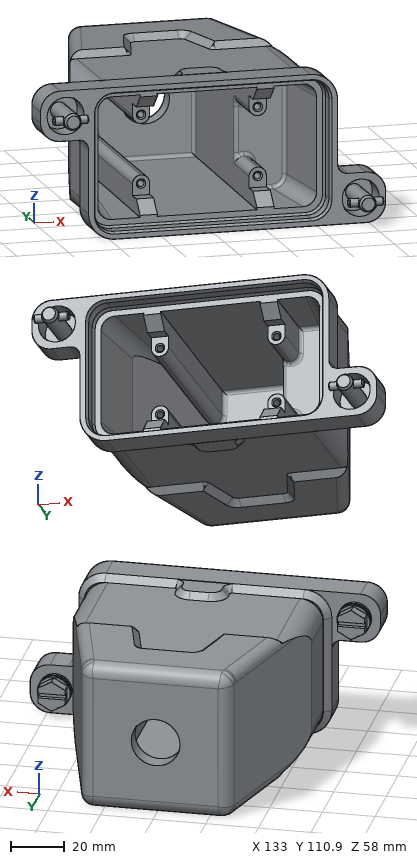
import cadquery as cq
import math

FLANGE_LENGTH = 133.0
FLANGE_HALF_X = 48.0
HALF_Z = 29.0
FLANGE_THICK = 12.1
FLANGE_CORNER = 10.4
LUG_HEIGHT = 19.3
LUG_CORNER = 7.6
LUG_BLEND = 3.9

HOOD_HALF_X = 45.2
HOOD_HALF_Z = 26.3
HOOD_TOP = 100.0
HOOD_CORNER = 8.8
SLOPE_START = 35.0
SLOPE_ANGLE = 15.0
SIDE_ROUND = 4.5
TOP_ROUND = 5.3
CABLE_HOLE_DIA = 18.5
RELIEF = HALF_Z - HOOD_HALF_Z

STEP_Y = 57.6
NOTCH_TOP_Y = 77.5
NOTCH_HALF_TOP = 10.1
NOTCH_ROUND = 2.0

ARCH_RISE = 2.5
ARCH_HALF = 7.6
ARCH_TOP_Y = 22.1
ARCH_ROUND = 4.0
ARCH_FLARE = 3.7

MOUTH_HALF_X = 45.8
MOUTH_HALF_Z = 27.0
MOUTH_CORNER = 7.8
MOUTH_BEVEL_INSET = 0.7
MOUTH_BEVEL_DEPTH = 1.7
LEDGE_Y = 8.2

CAVITY_HALF_X = 42.2
CAVITY_HALF_Z = 23.4
CAVITY_TOP_HALF_Z = 22.7
CAVITY_TOP_Y = 93.1
CAVITY_CORNER = 5.3
CAVITY_BEND_Y = 38.6
CAVITY_BEND_X = 38.7
SHELF_EDGE_X = 19.2
FLOOR_ROUND = 1.5

POST_X = 22.5
POST_Z = 13.2
POST_WIDTH = 6.6
POST_FACE_Y = 18.9
POST_SHELF_Y = 13.5
POST_SHELF_Z = 17.5
POST_RAMP_Z = 22.6
POST_HOLE_DIA = 2.5
POST_HOLE_CHAMFER = 0.5
POST_HOLE_DEPTH = 10.6

BORE_DIA = 14.2
BORE_ROOF = 2.7

SHAFT_DIA = 6.4
TIP_Y = -10.9
TIP_CHAMFER = 0.7
TIP_CHAMFER_LENGTH = 1.2
CROSS_PIN_Y = -6.9
CROSS_PIN_DIA = 3.2
CROSS_PIN_LENGTH = 13.3
CROSS_PIN_CHAMFER = 0.4
WASHER_DIA = 12.5
WASHER_THICK = 1.6
WASHER_CHAMFER = 0.4
HEAD_FLATS = 10.2
HEAD_HEIGHT = 4.1
SLOT_WIDTH = 1.9
SLOT_DEPTH = 1.7

LUG_X = (FLANGE_LENGTH - LUG_HEIGHT) / 2
LUG_Z = HALF_Z - LUG_HEIGHT / 2
SLOPE = math.tan(math.radians(SLOPE_ANGLE))


def section(y):
    """Workplane across Y that extrudes toward +Y; local x is X and local y is -Z."""
    return cq.Workplane(cq.Plane(origin=(0, y, 0), xDir=(1, 0, 0), normal=(0, 1, 0)))


def rounded_prism(half_x, half_z, corner, y_start, y_end):
    block = section(y_start).rect(2 * half_x, 2 * half_z).extrude(y_end - y_start)
    return block.edges("|Y").fillet(corner)


def rounded_taper(half_x, half_z, corner, y_start, length, angle):
    outline = cq.Sketch().rect(2 * half_x, 2 * half_z).vertices().fillet(corner)
    return section(y_start).placeSketch(outline).extrude(length, taper=angle)


def mirrored_in_z(body):
    return body.union(body.mirror("XY"))


def flange():
    half_length = FLANGE_LENGTH / 2
    lug_edge = HALF_Z - LUG_HEIGHT
    half_outline = [
        (-half_length, lug_edge),
        (-half_length, HALF_Z),
        (FLANGE_HALF_X, HALF_Z),
        (FLANGE_HALF_X, -lug_edge),
    ]
    outline = half_outline + [(-x, -z) for x, z in half_outline]
    plate = cq.Workplane("XZ").polyline(outline).close().extrude(-FLANGE_THICK)
    roundings = (LUG_CORNER, LUG_CORNER, FLANGE_CORNER, LUG_BLEND)
    mid_y = FLANGE_THICK / 2
    for (x, z), radius in zip(half_outline, roundings):
        for sign in (1, -1):
            corner = cq.selectors.NearestToPointSelector((sign * x, mid_y, sign * z))
            plate = plate.edges("|Y").edges(corner).fillet(radius)
    return plate


def hood_envelope():
    """Full-thickness block with leaning ends and rounded upper edges."""
    top_half_x = HOOD_HALF_X - SLOPE * (HOOD_TOP - SLOPE_START)
    outline = [
        (-HOOD_HALF_X, FLANGE_THICK),
        (-HOOD_HALF_X, SLOPE_START),
        (-top_half_x, HOOD_TOP),
        (top_half_x, HOOD_TOP),
        (HOOD_HALF_X, SLOPE_START),
        (HOOD_HALF_X, FLANGE_THICK),
    ]
    block = cq.Workplane("XY").workplane(offset=-HALF_Z).polyline(outline).close().extrude(2 * HALF_Z)
    leaning = cq.selectors.BoxSelector(
        (-HOOD_HALF_X, SLOPE_START + 1.3, -HALF_Z - 1.3), (HOOD_HALF_X, HOOD_TOP - 1.3, HALF_Z + 1.3)
    )
    return block.faces(">Y").edges().fillet(TOP_ROUND).edges(leaning).fillet(SIDE_ROUND)


def grip_relief():
    """Space in front of the +Z face below the grip step, with a notch rising in its middle."""
    notch_half_foot = NOTCH_HALF_TOP + SLOPE * (NOTCH_TOP_Y - STEP_Y)
    right = [
        (NOTCH_HALF_TOP, NOTCH_TOP_Y),
        (notch_half_foot, STEP_Y),
        (FLANGE_LENGTH / 2, STEP_Y),
        (FLANGE_LENGTH / 2, 0),
    ]
    outline = [(-x, y) for x, y in reversed(right)] + right
    rounded = cq.Sketch().polygon(outline + outline[:1])
    corners = cq.selectors.BoxSelector((-HOOD_HALF_X, STEP_Y - 1.3, -1.3), (HOOD_HALF_X, NOTCH_TOP_Y + 1.3, 1.3))
    rounded = rounded.vertices(corners).fillet(NOTCH_ROUND)
    return cq.Workplane("XY").workplane(offset=HOOD_HALF_Z).placeSketch(rounded).extrude(2 * RELIEF, taper=-45)


def arch():
    """Raised arch on the -Z face with flared feet."""
    foot_half = ARCH_HALF + ARCH_FLARE
    flare_top = FLANGE_THICK + ARCH_FLARE
    crest_half = ARCH_HALF - ARCH_ROUND
    shoulder_y = ARCH_TOP_Y - ARCH_ROUND
    outline = (
        cq.Workplane("XY").workplane(offset=-(HOOD_HALF_Z + ARCH_RISE))
        .moveTo(-foot_half, LEDGE_Y)
        .lineTo(-foot_half, FLANGE_THICK)
        .radiusArc((-ARCH_HALF, flare_top), -ARCH_FLARE)
        .lineTo(-ARCH_HALF, shoulder_y)
        .radiusArc((-crest_half, ARCH_TOP_Y), ARCH_ROUND)
        .lineTo(crest_half, ARCH_TOP_Y)
        .radiusArc((ARCH_HALF, shoulder_y), ARCH_ROUND)
        .lineTo(ARCH_HALF, flare_top)
        .radiusArc((foot_half, FLANGE_THICK), -ARCH_FLARE)
        .lineTo(foot_half, LEDGE_Y)
        .close()
    )
    return outline.extrude(ARCH_RISE, taper=-45)


def hood():
    envelope = hood_envelope()
    lower = rounded_prism(HOOD_HALF_X, HOOD_HALF_Z, HOOD_CORNER, 0, HOOD_TOP).intersect(envelope)
    below_step = cq.Workplane("XY").box(
        FLANGE_LENGTH, STEP_Y, 2 * FLANGE_LENGTH, centered=(True, False, True)
    )
    upper = envelope.cut(below_step).cut(mirrored_in_z(grip_relief()))
    skirt = rounded_taper(FLANGE_HALF_X, HALF_Z, FLANGE_CORNER, FLANGE_THICK, RELIEF, 45)
    return lower.union(upper).union(skirt).union(mirrored_in_z(arch()))


def mouth():
    """Stepped seat: bevel, straight wall, bevel, ending at the ledge."""
    inset = MOUTH_BEVEL_INSET
    bevel_angle = math.degrees(math.atan(inset / MOUTH_BEVEL_DEPTH))
    half_x = MOUTH_HALF_X - inset
    half_z = MOUTH_HALF_Z - inset
    corner = MOUTH_CORNER - inset
    inner_bevel_y = LEDGE_Y - MOUTH_BEVEL_DEPTH
    entry = rounded_taper(MOUTH_HALF_X, MOUTH_HALF_Z, MOUTH_CORNER, 0, MOUTH_BEVEL_DEPTH, bevel_angle)
    wall = rounded_prism(half_x, half_z, corner, MOUTH_BEVEL_DEPTH, inner_bevel_y)
    exit_bevel = rounded_taper(half_x, half_z, corner, inner_bevel_y, MOUTH_BEVEL_DEPTH, bevel_angle)
    return entry.union(wall).union(exit_bevel)


def cavity():
    """Inner space: deep on the -X side and in the middle, shallow on the +X side."""
    top_left_x = -CAVITY_BEND_X + SLOPE * (CAVITY_TOP_Y - CAVITY_BEND_Y)
    plan = [
        (-CAVITY_HALF_X, LEDGE_Y),
        (-CAVITY_BEND_X, CAVITY_BEND_Y),
        (top_left_x, CAVITY_TOP_Y),
        (SHELF_EDGE_X, CAVITY_TOP_Y),
        (SHELF_EDGE_X, CAVITY_BEND_Y),
        (CAVITY_BEND_X, CAVITY_BEND_Y),
        (CAVITY_HALF_X, LEDGE_Y),
    ]
    profile = [
        (LEDGE_Y, -CAVITY_HALF_Z),
        (CAVITY_TOP_Y, -CAVITY_TOP_HALF_Z),
        (CAVITY_TOP_Y, CAVITY_TOP_HALF_Z),
        (LEDGE_Y, CAVITY_HALF_Z),
    ]
    in_plan = cq.Workplane("XY").polyline(plan).close().extrude(HALF_Z, both=True)
    in_profile = cq.Workplane("YZ").polyline(profile).close().extrude(FLANGE_LENGTH, both=True)
    space = in_plan.intersect(in_profile)
    for x in (-CAVITY_HALF_X, CAVITY_HALF_X):
        end_wall = cq.selectors.NearestToPointSelector((x, (LEDGE_Y + CAVITY_BEND_Y) / 2, 0))
        space = space.faces(end_wall).edges("not |Z").fillet(CAVITY_CORNER)
    return space


def post():
    """Mounting post on the -Z side at +X: tip, hole and a ramp rising to the ledge."""
    tip_z = POST_Z - POST_WIDTH / 2
    side = [
        (POST_FACE_Y, -tip_z),
        (POST_FACE_Y, -POST_SHELF_Z),
        (POST_SHELF_Y, -POST_SHELF_Z),
        (LEDGE_Y, -POST_RAMP_Z),
        (LEDGE_Y, -HOOD_HALF_Z + RELIEF / 2),
        (CAVITY_TOP_Y + RELIEF / 2, -HOOD_HALF_Z + RELIEF / 2),
        (CAVITY_TOP_Y + RELIEF / 2, -tip_z),
    ]
    body = cq.Workplane("YZ").polyline(side).close().extrude(POST_WIDTH / 2, both=True)
    tip_edges = cq.selectors.BoxSelector(
        (-POST_WIDTH, 0, -tip_z - 0.1), (POST_WIDTH, HOOD_TOP, -tip_z + 0.1)
    )
    body = body.edges("|Y").edges(tip_edges).fillet(0.99 * POST_WIDTH / 2)
    hole = section(POST_FACE_Y).center(0, POST_Z).circle(POST_HOLE_DIA / 2).extrude(POST_HOLE_DEPTH)
    hole = hole.union(
        section(POST_FACE_Y).center(0, POST_Z).circle(POST_HOLE_DIA / 2 + POST_HOLE_CHAMFER)
        .extrude(POST_HOLE_CHAMFER, taper=45)
    )
    return body.cut(hole).translate((POST_X, 0, 0))


def round_floors(space):
    """Rounds the edges around the deep floor and the shallow +X shelf, posts included."""
    for floor_y in (CAVITY_TOP_Y, CAVITY_BEND_Y):
        at_floor = cq.selectors.BoxSelector(
            (-HOOD_HALF_X, floor_y - 0.1, -HALF_Z), (HOOD_HALF_X, floor_y + 0.1, HALF_Z)
        )
        space = space.faces(at_floor).edges().fillet(FLOOR_ROUND)
    return space


def housing():
    body = flange().union(hood())
    space = mouth().union(cavity())
    one_post = post()
    for x_side in (one_post, one_post.mirror("YZ")):
        for one in (x_side, x_side.mirror("XY")):
            space = space.cut(one)
    space = round_floors(space)
    body = body.cut(space)
    cable_hole = section(0).circle(CABLE_HOLE_DIA / 2).extrude(HOOD_TOP + 1.3)
    body = body.cut(cable_hole)
    for sign in (1, -1):
        bore = section(0).circle(BORE_DIA / 2).extrude(FLANGE_THICK - BORE_ROOF)
        shaft_hole = section(0).circle(SHAFT_DIA / 2).extrude(FLANGE_THICK)
        body = body.cut(bore.union(shaft_hole).translate((-sign * LUG_X, 0, sign * LUG_Z)))
    return body


def screw():
    """Quarter-turn screw on the Y axis with two fixed washers and a cross pin."""
    head_y = FLANGE_THICK + 2 * WASHER_THICK
    shaft = section(TIP_Y).circle(SHAFT_DIA / 2).extrude(head_y - TIP_Y)
    shaft = shaft.faces("<Y").chamfer(TIP_CHAMFER_LENGTH, TIP_CHAMFER)
    pin = cq.Workplane("YZ").center(CROSS_PIN_Y, 0).circle(CROSS_PIN_DIA / 2)
    pin = pin.extrude(CROSS_PIN_LENGTH / 2, both=True)
    pin = pin.faces("<X or >X").chamfer(CROSS_PIN_CHAMFER)
    body = shaft.union(pin)
    for index in range(2):
        washer = section(FLANGE_THICK + index * WASHER_THICK).circle(WASHER_DIA / 2).extrude(WASHER_THICK)
        meeting_side = "<Y" if index else ">Y"
        body = body.union(washer.faces(meeting_side).chamfer(WASHER_CHAMFER))
    head_corners = HEAD_FLATS / math.cos(math.pi / 6)
    head = section(head_y).transformed(rotate=(0, 0, 90)).polygon(6, head_corners).extrude(HEAD_HEIGHT)
    slot = section(head_y + HEAD_HEIGHT - SLOT_DEPTH).rect(WASHER_DIA, SLOT_WIDTH).extrude(SLOT_DEPTH)
    return body.union(head.cut(slot))


hood_housing = housing()
screws = []
for side in (1, -1):
    screws.append(screw().translate((-side * LUG_X, 0, side * LUG_Z)))

result = cq.Compound.makeCompound([hood_housing.val(), *[one.val() for one in screws]])